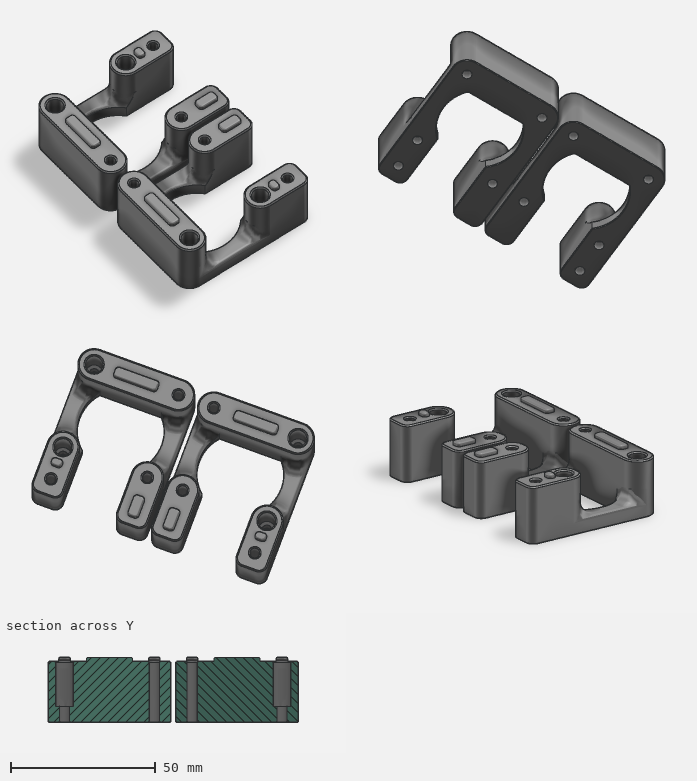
import cadquery as cq
import math

hole_pitch = 31.0
pillar_width = 11.3
hole_offset = hole_pitch / 2
pillar_radius = pillar_width / 2
half_width = hole_offset + pillar_radius
inner_face = hole_offset - pillar_radius
body_gap = 1.7
body_spacing = 2 * half_width + body_gap

total_height = 22.55
body_height = 21.15
nub_height = total_height - body_height
bar_height = 5.5

end_hole_spacing = 12.0
end_hole_y = hole_offset + end_hole_spacing
arm_end_y = 33.45
arm_end_radius = 3.0
opening_radius = 15.0

bar_edge_radius = 1.2
pillar_fillet = 5.0
top_chamfer = 0.5
bottom_chamfer = 0.3

hole_diameter = 3.4
counterbore_diameter = 6.0
hole_chamfer = 0.5
counterbore_depth = body_height - bar_height

nub_width = 4.0
front_nub_length = 16.0
arm_nub_length = 8.0
arm_nub_y = 26.5
small_nub_length = 3.0
small_nub_y = (hole_offset + end_hole_y) / 2
nub_corner_radius = 1.25
nub_top_radius = 0.7

stock_depth = 12.0
stock_reach = 30.0
select_margin = 0.1


def arm_pillar():
    """Tall block on the -X arm: rounded far corners, full-round end facing the opening."""
    length = arm_end_y - hole_offset
    block = (
        cq.Workplane("XY")
        .center(-hole_offset, hole_offset + length / 2)
        .rect(pillar_width, length)
        .extrude(body_height)
        .edges("|Z and >Y")
        .fillet(arm_end_radius)
    )
    round_end = (
        cq.Workplane("XY")
        .center(-hole_offset, hole_offset)
        .circle(pillar_radius)
        .extrude(body_height)
    )
    return block.union(round_end)


def front_pillar():
    """Tall full-round wall that joins the two arms."""
    return (
        cq.Workplane("XY")
        .center(0, -hole_offset)
        .slot2D(2 * half_width, pillar_width)
        .extrude(body_height)
    )


def bar_outline():
    """Prism on the plan of the -X arm's low bar, cut by the opening, tall enough to hold the fillets."""
    height = bar_height + pillar_fillet
    opening = cq.Workplane("XY").circle(opening_radius).extrude(height)
    return (
        cq.Workplane("XY")
        .center(-hole_offset, 0)
        .rect(pillar_width, hole_pitch)
        .extrude(height)
        .cut(opening)
    )


def bar_stock():
    """Half slab with the bar's rounded outer edge, sunk by a rounded funnel where the opening goes.

    The funnel mouth is rounded through 45 degrees and runs on as a 45 degree cone to its apex.
    """
    height = stock_depth + bar_height
    slab = (
        stock_pillar_plane()
        .center(-half_width / 2, 0)
        .rect(half_width, 2 * stock_reach)
        .extrude(height)
        .edges(">Z and <X")
        .fillet(bar_edge_radius)
    )
    mouth_radius = opening_radius + bar_edge_radius
    arc_centre_z = bar_height - bar_edge_radius

    def mouth_point(turn):
        radius = mouth_radius - bar_edge_radius * math.sin(turn)
        return (radius, arc_centre_z + bar_edge_radius * math.cos(turn))

    cone_radius, cone_z = mouth_point(math.radians(45))
    funnel = (
        cq.Workplane("XZ")
        .moveTo(0, bar_height)
        .lineTo(mouth_radius, bar_height)
        .threePointArc(mouth_point(math.radians(22.5)), (cone_radius, cone_z))
        .lineTo(0, cone_z - cone_radius)
        .close()
        .revolve(360, (0, 0, 0), (0, 1, 0))
    )
    return slab.cut(funnel)


def stock_pillar_plane():
    """Plane at the bottom of the stock, where the stand-in pillars start."""
    return cq.Workplane("XY").workplane(offset=-stock_depth)


def arm_stand_in():
    """Stand-in for the arm pillar: full-round end, run on to the edge of the stock."""
    return (
        stock_pillar_plane()
        .moveTo(-half_width, hole_offset)
        .lineTo(-half_width, stock_reach)
        .lineTo(-inner_face, stock_reach)
        .lineTo(-inner_face, hole_offset)
        .threePointArc((-hole_offset, inner_face), (-half_width, hole_offset))
        .close()
        .extrude(stock_depth + body_height)
    )


def front_stand_in():
    """Stand-in for the front wall: one rounded corner, run on to the edge of the stock."""
    arc_reach = pillar_radius * math.sqrt(0.5)
    return (
        stock_pillar_plane()
        .moveTo(-half_width, -hole_offset)
        .threePointArc((-hole_offset - arc_reach, -hole_offset + arc_reach), (-hole_offset, -inner_face))
        .lineTo(0, -inner_face)
        .lineTo(0, -stock_reach)
        .lineTo(-half_width, -stock_reach)
        .close()
        .extrude(stock_depth + body_height)
    )


def half_bar(stand_in, side):
    """Half of the low bar on one side of Y = 0, with the fillet running up its pillar."""
    near_y, far_y = sorted([side * (inner_face - select_margin), side * (hole_offset - select_margin)])
    foot_edges = cq.selectors.BoxSelector(
        (-half_width - select_margin, near_y, -stock_depth + select_margin),
        (-select_margin, far_y, bar_height + select_margin),
    )
    stock = bar_stock().union(stand_in).edges(foot_edges).fillet(pillar_fillet)
    half_plan = (
        cq.Workplane("XY")
        .center(-half_width, side * stock_reach / 2)
        .rect(2 * half_width, stock_reach)
        .extrude(body_height)
    )
    return stock.intersect(bar_outline().intersect(half_plan))


def bottom_edge_trim():
    """Prism over the whole footprint with its bottom edge chamfered."""
    left = arm_pillar().union(bar_outline())
    footprint = left.union(left.mirror("YZ")).union(front_pillar())
    opening_arcs = cq.selectors.RadiusNthSelector(-1)
    other_edges = cq.selectors.InverseSelector(opening_arcs)
    arcs_trimmed = footprint.faces("<Z").edges(opening_arcs).chamfer(bottom_chamfer)
    rest_trimmed = footprint.faces("<Z").edges(other_edges).chamfer(bottom_chamfer)
    return arcs_trimmed.intersect(rest_trimmed)


def nub(x, y, size_x, size_y):
    """Locating nub with rounded corners and a rounded top edge."""
    return (
        cq.Workplane("XY")
        .workplane(offset=body_height)
        .center(x, y)
        .rect(size_x, size_y)
        .extrude(nub_height)
        .edges("|Z")
        .fillet(nub_corner_radius)
        .faces(">Z")
        .edges()
        .fillet(nub_top_radius)
    )


def screw_hole(x, y):
    """Plain through hole with a chamfered mouth."""
    return (
        cq.Workplane("XY")
        .workplane(offset=body_height)
        .center(x, y)
        .circle(hole_diameter / 2)
        .extrude(-body_height)
        .union(mouth_cone(x, y, hole_diameter))
    )


def mouth_cone(x, y, diameter):
    """Conical chamfer cutter at the top of a hole."""
    radius = diameter / 2
    return cq.Workplane(
        obj=cq.Solid.makeCone(
            radius,
            radius + hole_chamfer,
            hole_chamfer,
            cq.Vector(x, y, body_height - hole_chamfer),
        )
    )


def counterbore(x, y):
    """Screw-head bore with a chamfered mouth."""
    return (
        cq.Workplane("XY")
        .workplane(offset=body_height)
        .center(x, y)
        .circle(counterbore_diameter / 2)
        .extrude(-counterbore_depth)
        .union(mouth_cone(x, y, counterbore_diameter))
    )


def cradle():
    """Complete cradle, with the counterbored screws on its -X arm."""
    left_arm = arm_pillar().faces(">Z").chamfer(top_chamfer)
    front = front_pillar().faces(">Z").chamfer(top_chamfer)
    bar = half_bar(arm_stand_in(), 1).union(half_bar(front_stand_in(), -1))
    left_side = bar.union(left_arm)
    body = left_side.union(left_side.mirror("YZ")).union(front)
    body = body.intersect(bottom_edge_trim())

    for x, y in [
        (-hole_offset, end_hole_y),
        (-hole_offset, hole_offset),
        (hole_offset, hole_offset),
        (-hole_offset, -hole_offset),
        (hole_offset, -hole_offset),
    ]:
        body = body.cut(screw_hole(x, y))
    for y in (-hole_offset, hole_offset):
        body = body.cut(counterbore(-hole_offset, y))

    body = body.union(nub(0, -hole_offset, front_nub_length, nub_width))
    body = body.union(nub(hole_offset, arm_nub_y, nub_width, arm_nub_length))
    return body.union(nub(-hole_offset, small_nub_y, nub_width, small_nub_length))


left_cradle = cradle().translate((-body_spacing / 2, 0, 0))
right_cradle = left_cradle.mirror("YZ")

result = cq.Compound.makeCompound([left_cradle.val(), right_cradle.val()])